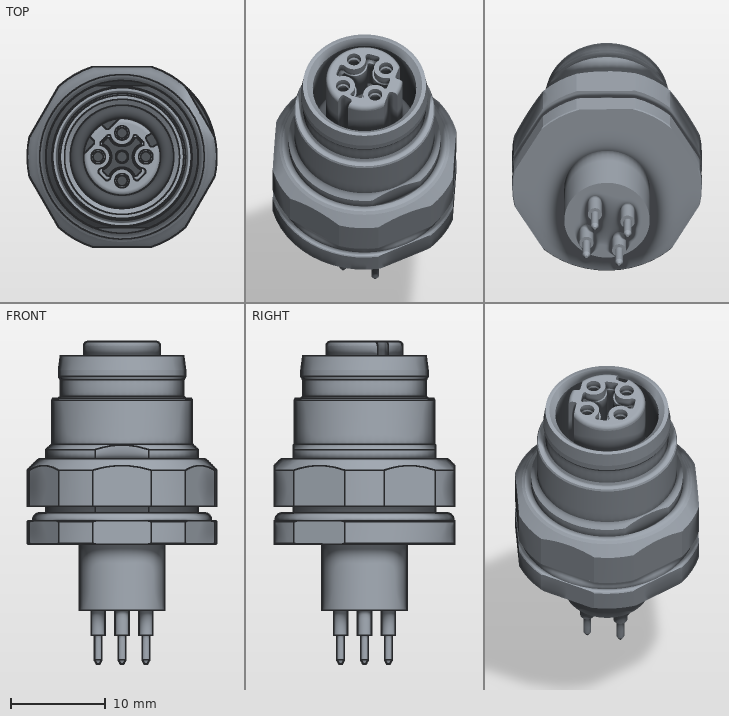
import cadquery as cq
import math

pin_cone_z = 0.48
pin_shoulder_z = 3.03
stem_bottom_z = 5.68
base_hex_bottom_z = 12.65
base_hex_top_z = 15.1
nut_bottom_z = 16.63
nut_top_z = 21.65
flange_cone_z = 22.6
body_bottom_z = 23.2
socket_floor_z = 24.48
body_top_z = 28.0
collar_bottom_z = 29.95
collar_band_z = 30.33
collar_taper_z = 30.97
collar_top_z = 32.5
insert_top_z = 34.0

stem_diameter = 9.0
flange_diameter = 16.0
body_diameter = 14.8
neck_diameter = 13.0
collar_diameter = 13.4
socket_diameter = 10.9
insert_diameter = 8.1

hex_sides = 6
hex_across_flats = 19.0
hex_corner_diameter = 20.0
hex_edge_chamfer = 0.1
nut_cone_height = 1.02
nut_rim_height = 0.2
nut_rim_width = 0.3
nut_bore_top_diameter = 16.1
nut_countersink_depth = 0.68
flange_across_flats = 15.0
round_side_angle = 30

body_edge_height = 0.2
body_edge_width = 0.1
neck_root_flare = 0.2
socket_lead_in = 0.6

seal_diameter = 18.85
seal_edge_radius = 0.78
seal_top_z = 15.95

contact_offset = 2.5
contact_diameter = 1.5
contact_bore_diameter = 1.1
centre_bore_diameter = 1.15
contact_recess = 0.75
contact_bore_depth = 4.08
centre_bore_depth = 2.05
centre_rim_diameter = 1.35
centre_rim_depth = 0.17
pin_diameter = 0.8
pin_tip_diameter = 0.3

insert_top_fillet = 0.48
key_angle = 135
key_flat_distance = 3.05
key_width = 1.77
key_root_fillet = 0.27
notch_angle = 29
notch_width = 1.3
notch_floor_distance = 3.13
notch_corner_radius = 0.27

pocket_arm_width = 1.5
pocket_upper_reach = 2.7
pocket_lower_reach = 2.95
pocket_hub_radius = 1.77
pocket_wall_radius = 1.25
pocket_corner_radius = 0.27
pocket_depth = 1.02
well_arm_width = 1.02
well_reach = 2.5
well_hub_radius = 1.53
well_wall_radius = 1.43
well_depth = 4.75
well_corner_radius = 0.27

contact_points = [
    (contact_offset, 0),
    (0, contact_offset),
    (-contact_offset, 0),
    (0, -contact_offset),
]


def cylinder(diameter, bottom_z, top_z):
    return cq.Workplane("XY").workplane(offset=bottom_z).circle(diameter / 2).extrude(top_z - bottom_z)


def turned(profile):
    """Solid of revolution about Z from (radius, z) points."""
    return cq.Workplane("XZ").polyline(profile).close().revolve(360, (0, 0, 0), (0, 1, 0))


def hexagon(bottom_z, top_z):
    """Hexagonal prism with two flats facing +Y and -Y."""
    corner_to_corner = hex_across_flats / math.cos(math.pi / hex_sides)
    plane = cq.Workplane("XY").workplane(offset=bottom_z)
    return plane.polygon(hex_sides, corner_to_corner).extrude(top_z - bottom_z)


def base_hexagon():
    """Chamfered disc with five of the six hexagon flats; the side at round_side_angle stays round."""
    disc = cylinder(hex_corner_diameter, base_hex_bottom_z, base_hex_top_z).edges().chamfer(hex_edge_chamfer)
    height = base_hex_top_z - base_hex_bottom_z
    plane = cq.Workplane("XY").workplane(offset=base_hex_bottom_z)
    beyond_flat = plane.center(hex_across_flats, 0).rect(hex_across_flats, hex_corner_diameter).extrude(height)
    for step in range(1, hex_sides):
        angle = round_side_angle + step * 360 / hex_sides
        disc = disc.cut(beyond_flat.rotate((0, 0, 0), (0, 0, 1), angle))
    return disc


def panel_seal():
    """Flat ring on the base hexagon with a rounded outer top edge."""
    ring = cylinder(seal_diameter, base_hex_top_z, seal_top_z)
    return ring.faces(">Z").edges().fillet(seal_edge_radius)


def nut():
    """Hexagonal nut with a conical top edge and a countersunk bore around the flange."""
    corner_radius = hex_corner_diameter / 2
    rim_z = nut_top_z - nut_rim_height
    rim_radius = corner_radius - nut_cone_height
    coned_disc = turned([
        (0, nut_bottom_z),
        (corner_radius, nut_bottom_z),
        (corner_radius, rim_z - nut_cone_height),
        (rim_radius, rim_z),
        (rim_radius - nut_rim_width, nut_top_z),
        (0, nut_top_z),
    ])
    bore_radius = nut_bore_top_diameter / 2
    countersink = turned([
        (0, nut_top_z - nut_countersink_depth),
        (bore_radius - nut_countersink_depth, nut_top_z - nut_countersink_depth),
        (bore_radius, nut_top_z),
        (0, nut_top_z),
    ])
    return hexagon(nut_bottom_z, nut_top_z).intersect(coned_disc).cut(countersink)


def flange():
    """Round flange with a conical top edge and two flats facing +Y and -Y."""
    disc = turned([
        (0, base_hex_top_z),
        (flange_diameter / 2, base_hex_top_z),
        (flange_diameter / 2, flange_cone_z),
        (body_diameter / 2, body_bottom_z),
        (0, body_bottom_z),
    ])
    height = body_bottom_z - base_hex_top_z
    flats = cq.Workplane("XY").workplane(offset=base_hex_top_z).rect(flange_diameter, flange_across_flats)
    return disc.intersect(flats.extrude(height))


def socket_shell():
    """Upper body, neck and collar around an open round socket."""
    body_radius = body_diameter / 2
    neck_radius = neck_diameter / 2
    collar_radius = collar_diameter / 2
    socket_radius = socket_diameter / 2
    return turned([
        (0, body_bottom_z),
        (body_radius, body_bottom_z),
        (body_radius, body_top_z - body_edge_height),
        (body_radius - body_edge_width, body_top_z),
        (neck_radius + neck_root_flare, body_top_z),
        (neck_radius, body_top_z + neck_root_flare),
        (neck_radius, collar_bottom_z),
        (collar_radius, collar_band_z),
        (collar_radius, collar_taper_z),
        (neck_radius, collar_top_z),
        (socket_radius + socket_lead_in, collar_top_z),
        (socket_radius, collar_top_z - socket_lead_in),
        (socket_radius, socket_floor_z),
        (0, socket_floor_z),
    ])


def socket_seal():
    """O-ring filling the floor of the gap between insert and socket wall."""
    insert_radius = insert_diameter / 2
    section_radius = (socket_diameter / 2 - insert_radius) / 2
    ring_radius = insert_radius + section_radius
    section = cq.Workplane("XZ").center(ring_radius, socket_floor_z).circle(section_radius)
    return section.revolve(360, (-ring_radius, 0, 0), (-ring_radius, 1, 0))


def side_cut(angle, start_x, width, centre_y, rounded_edges, radius):
    """Box over the insert height, running outward from start_x, then turned by angle about Z."""
    plane = cq.Workplane("XY").workplane(offset=socket_floor_z)
    length = insert_diameter / 2
    box = plane.center(start_x + length / 2, centre_y).rect(length, width)
    box = box.extrude(insert_top_z - socket_floor_z).edges(rounded_edges).fillet(radius)
    return box.rotate((0, 0, 0), (0, 0, 1), angle)


def cross_cut(reaches, arm_width, hub_radius, wall_radius, corner_radius, depth):
    """Cross-shaped cutter whose hub follows round walls left standing around the contacts."""
    plane = cq.Workplane("XY").workplane(offset=insert_top_z - depth)
    cutter = plane.circle(hub_radius).extrude(depth)
    for index, reach in enumerate(reaches):
        arm = plane.center(reach / 2, 0).rect(reach, arm_width).extrude(depth)
        arm = arm.edges("|Z and >X").fillet(corner_radius)
        cutter = cutter.union(arm.rotate((0, 0, 0), (0, 0, 1), 45 + 90 * index))
    walls = plane.pushPoints(contact_points).circle(wall_radius).extrude(depth)
    return cutter.cut(walls)


def insert():
    """Contact carrier with a key, a notch and a two-step cross pocket in its top."""
    part = cylinder(insert_diameter, socket_floor_z, insert_top_z)
    part = part.faces(">Z").edges().fillet(insert_top_fillet)

    flat_width = insert_diameter / 2
    for side in (1, -1):
        flat_centre = side * (key_width + flat_width) / 2
        root_edge = "|Z and <X and <Y" if side > 0 else "|Z and <X and >Y"
        flat = side_cut(key_angle, key_flat_distance, flat_width, flat_centre, root_edge, key_root_fillet)
        part = part.cut(flat)

    notch = side_cut(notch_angle, notch_floor_distance, notch_width, 0, "|Z and <X", notch_corner_radius)
    part = part.cut(notch)

    pocket = cross_cut(
        [pocket_upper_reach, pocket_upper_reach, pocket_lower_reach, pocket_lower_reach],
        pocket_arm_width,
        pocket_hub_radius,
        pocket_wall_radius,
        pocket_corner_radius,
        pocket_depth,
    )
    well = cross_cut(
        [well_reach] * 4,
        well_arm_width,
        well_hub_radius,
        well_wall_radius,
        well_corner_radius,
        well_depth,
    )
    return part.cut(pocket).cut(well)


def contact_holes():
    """Stepped holes for the four outer contacts and for the centre contact in the well floor."""
    top = cq.Workplane("XY").workplane(offset=insert_top_z)
    recesses = top.pushPoints(contact_points).circle(contact_diameter / 2).extrude(-contact_recess)
    bores = top.pushPoints(contact_points).circle(contact_bore_diameter / 2).extrude(-contact_bore_depth)
    well_floor_z = insert_top_z - well_depth
    centre_rim = cylinder(centre_rim_diameter, well_floor_z - centre_rim_depth, well_floor_z)
    centre_bore = cylinder(centre_bore_diameter, well_floor_z - centre_bore_depth, well_floor_z)
    return recesses.union(bores).union(centre_rim).union(centre_bore)


def pin():
    """Stepped solder pin with a conical tip."""
    return turned([
        (0, 0),
        (pin_tip_diameter / 2, 0),
        (pin_diameter / 2, pin_cone_z),
        (pin_diameter / 2, pin_shoulder_z),
        (contact_diameter / 2, pin_shoulder_z),
        (contact_diameter / 2, stem_bottom_z),
        (0, stem_bottom_z),
    ])


result = cylinder(stem_diameter, stem_bottom_z, base_hex_bottom_z)
for component in (base_hexagon(), panel_seal(), flange(), nut(), socket_shell(), socket_seal(), insert()):
    result = result.union(component)
result = result.cut(contact_holes())
for x, y in contact_points:
    result = result.union(pin().translate((x, y, 0)))